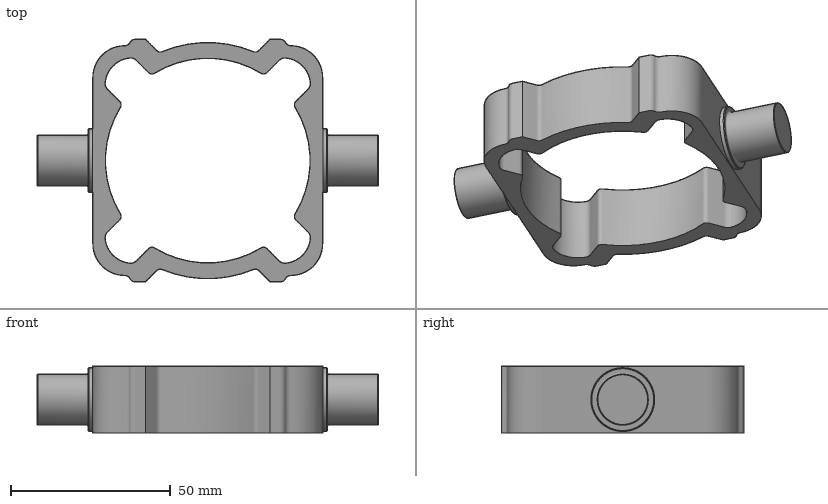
import cadquery as cq
import math

HEIGHT = 21.0
HALF_WIDTH = 36.0
CORNER_RADIUS = 10.0
RING_OUTER_RADIUS = 37.0
BORE_RADIUS = 32.0

LUG_TOP = 38.0
LUG_TOP_INNER_X = 19.5
LUG_TOP_OUTER_X = 22.7
LUG_ROOT_FILLET = 1.5

POCKET_WIDTH = 12.75
POCKET_REACH = 41.9
POCKET_END_RADIUS = 8.5
POCKET_CORNER_FILLET = 2.5
POCKET_MOUTH_FILLET = 1.5

PIN_RADIUS = 8.0
PIN_TIP_X = 53.4
PIN_TIP_CHAMFER = 0.2
PIN_ROOT_FILLET = 0.4
COLLAR_RADIUS = 10.0
COLLAR_FACE_X = 37.5
COLLAR_CHAMFER = 0.3
PIN_EMBED_X = 34.0

HALF_HEIGHT = HEIGHT / 2


def make_outer_quarter():
    """Solid quarter of the outer shape, in the +X +Y quadrant."""
    corner_center = HALF_WIDTH - CORNER_RADIUS
    corner_mid = corner_center + CORNER_RADIUS * math.sqrt(0.5)
    shoulder_mid = ((corner_center + LUG_TOP_OUTER_X) / 2, (HALF_WIDTH + LUG_TOP) / 2)

    flank_offset = LUG_TOP - LUG_TOP_INNER_X
    root_x = (math.sqrt(2 * RING_OUTER_RADIUS**2 - flank_offset**2) - flank_offset) / 2
    root_y = root_x + flank_offset
    ring_mid_angle = (math.atan2(root_y, root_x) + math.pi / 2) / 2
    ring_mid = (RING_OUTER_RADIUS * math.cos(ring_mid_angle), RING_OUTER_RADIUS * math.sin(ring_mid_angle))

    quarter = (
        cq.Workplane("XY", origin=(0, 0, -HALF_HEIGHT))
        .lineTo(HALF_WIDTH, 0)
        .lineTo(HALF_WIDTH, corner_center)
        .threePointArc((corner_mid, corner_mid), (corner_center, HALF_WIDTH))
        .tangentArcPoint(shoulder_mid, relative=False)
        .tangentArcPoint((LUG_TOP_OUTER_X, LUG_TOP), relative=False)
        .lineTo(LUG_TOP_INNER_X, LUG_TOP)
        .lineTo(root_x, root_y)
        .threePointArc(ring_mid, (0, RING_OUTER_RADIUS))
        .close()
        .extrude(HEIGHT)
    )
    root_edge = cq.selectors.NearestToPointSelector((root_x, root_y, 0))
    return quarter.edges(root_edge).fillet(LUG_ROOT_FILLET)


def make_outer_body():
    """Full outer shape, mirrored from one quarter."""
    quarter = make_outer_quarter()
    half = quarter.union(quarter.mirror("YZ"))
    return half.union(half.mirror("XZ")).clean()


def make_pocket():
    """Pocket cutter along +X: a straight channel with an arched end and rounded end corners."""
    half_width = POCKET_WIDTH / 2
    end_center_x = POCKET_REACH - POCKET_END_RADIUS
    wall_end_x = end_center_x + math.sqrt(POCKET_END_RADIUS**2 - half_width**2)
    pocket = (
        cq.Workplane("XY", origin=(0, 0, -HALF_HEIGHT))
        .moveTo(0, -half_width)
        .lineTo(wall_end_x, -half_width)
        .threePointArc((POCKET_REACH, 0), (wall_end_x, half_width))
        .lineTo(0, half_width)
        .close()
        .extrude(HEIGHT)
    )
    return pocket.edges("|Z").edges(">X").fillet(POCKET_CORNER_FILLET)


def cut_bore_and_pockets(body):
    """Cut the round bore and the four diagonal corner pockets, then round the pocket mouths."""
    bore = cq.Workplane("XY").circle(BORE_RADIUS).extrude(HALF_HEIGHT, both=True)
    pocket = make_pocket()

    mouth_half_angle = math.degrees(math.asin(POCKET_WIDTH / 2 / BORE_RADIUS))
    mouth_angles = []
    body = body.cut(bore)
    for pocket_angle in (45, 135, 225, 315):
        body = body.cut(pocket.rotate((0, 0, 0), (0, 0, 1), pocket_angle))
        mouth_angles += [pocket_angle - mouth_half_angle, pocket_angle + mouth_half_angle]

    for mouth_angle in mouth_angles:
        angle = math.radians(mouth_angle)
        corner = (BORE_RADIUS * math.cos(angle), BORE_RADIUS * math.sin(angle), 0)
        body = body.edges(cq.selectors.NearestToPointSelector(corner)).fillet(POCKET_MOUTH_FILLET)
    return body


def make_pin():
    """Trunnion pin with its collar on the +X side, revolved about the X axis."""
    root_x = COLLAR_FACE_X + PIN_ROOT_FILLET
    root_radius = PIN_RADIUS + PIN_ROOT_FILLET
    fillet_reach = PIN_ROOT_FILLET * (1 - math.sqrt(0.5))
    return (
        cq.Workplane("XY")
        .moveTo(PIN_EMBED_X, 0)
        .lineTo(PIN_EMBED_X, COLLAR_RADIUS)
        .lineTo(COLLAR_FACE_X - COLLAR_CHAMFER, COLLAR_RADIUS)
        .lineTo(COLLAR_FACE_X, COLLAR_RADIUS - COLLAR_CHAMFER)
        .lineTo(COLLAR_FACE_X, root_radius)
        .threePointArc((COLLAR_FACE_X + fillet_reach, PIN_RADIUS + fillet_reach), (root_x, PIN_RADIUS))
        .lineTo(PIN_TIP_X - PIN_TIP_CHAMFER, PIN_RADIUS)
        .lineTo(PIN_TIP_X, PIN_RADIUS - PIN_TIP_CHAMFER)
        .lineTo(PIN_TIP_X, 0)
        .close()
        .revolve(360, (0, 0, 0), (1, 0, 0))
    )


ring = cut_bore_and_pockets(make_outer_body())
pin = make_pin()
result = ring.union(pin).union(pin.mirror("YZ"))